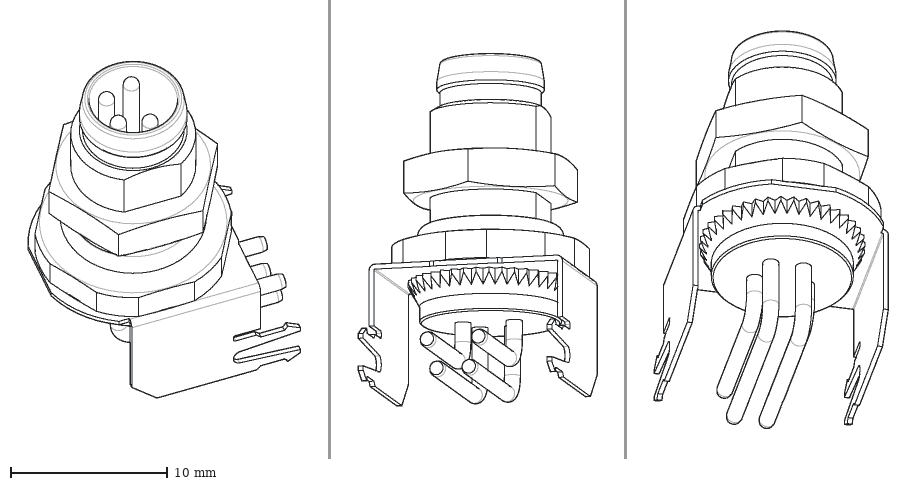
import cadquery as cq
import math


BASE_HEIGHT = 2.0
BODY_RADIUS = 4.0
BODY_FLAT_WIDTH = 7.0
BODY_CHAMFER_Z = 10.62
BODY_TOP_Z = 10.95
BODY_TOP_RADIUS = 3.45
NECK_RADIUS = 3.25
COLLAR_BOTTOM_Z = 12.02
COLLAR_RADIUS = 3.45
COLLAR_CHAMFER = COLLAR_RADIUS - NECK_RADIUS
COLLAR_CONE_Z = 12.75
SHELL_TOP_Z = 14.0
RIM_OUTER_RADIUS = 3.27
RIM_ROUND = 0.17

CAVITY_FLOOR_Z = 7.5
CAVITY_FLOOR_RADIUS = 2.74
CAVITY_MOUTH_RADIUS = 2.83
MOUTH_ROUND = 0.1

NUT_FLATS = 10.0
NUT_BOTTOM_Z = 5.0
NUT_HEIGHT = 2.5
NUT_FACE_RADIUS = 4.95
CHAMFER_ANGLE = 14.0
BASE_FLATS = 12.1
BASE_CORNER_RADIUS = 6.35
BASE_FACE_RADIUS = 6.0

RING_SECTION_RADIUS = 0.64
RING_CENTER_RADIUS = 4.05

SHEET = 0.33
BRACKET_WIDTH = 12.8
BEND_RADIUS = 0.4
LEG_FRONT_Y = -2.5
LEG_REAR_Y = 6.3
LEG_BOTTOM_Z = -7.92
LEG_CORNER_CHAMFER = 1.72
DISC_RADIUS = 6.74
DISC_HALF_LENGTH = 6.4
DISC_HALF_WIDTH = 5.93

PRONG_AXIS_Z = -6.23
PRONG_TIP_Y = 9.03
PRONG_TIP_INNER = 0.9
PRONG_TIP_OUTER = 1.2
BARB_Y = 8.15
BARB_OUTER = 1.72
BARB_FOOT_Y = 7.93
BARB_HOLLOW_Y = 8.01
BARB_HOLLOW_OUTER = 1.48
PRONG_OUTER = 1.4
PRONG_STEP_Y = 6.32
GAP_ROOT_Y = 4.45
GAP_ROUND_Y = 4.85
GAP_ROUND_HALF = 0.53
RELIEF_ROOT_Y = 4.45
RELIEF_TOP_Z = -4.03
RELIEF_BOTTOM_Z = -4.52
RELIEF_ROUND = 0.15

TOOTH_COUNT = 40
RIDGE_RADIUS = 5.3
VALLEY_RADIUS = 4.87
PLUG_RADIUS = 4.55
PLUG_TOP_Z = -1.9
PLUG_BOTTOM_Z = -3.0
PLUG_CHAMFER = 0.12
CONE_HALF_ANGLE = 30.0

PIN_RADIUS = 0.52
PIN_TIP_Z = 13.84
PIN_END_Y = 9.65
PIN_BEND_RADIUS = 1.42
PIN_END_TAPER_LENGTH = 0.32
PIN_END_RADIUS = 0.44
FRONT_PIN_X = 1.07
FRONT_PIN_Y = -1.42
REAR_PIN_X = 1.7
REAR_PIN_Y = 0.51
LOWEST_Z = -8.15
FRONT_TAIL_Z = LOWEST_Z + PIN_RADIUS
REAR_TAIL_Z = FRONT_TAIL_Z + REAR_PIN_Y - FRONT_PIN_Y


def slab(x_size, y_min, y_max, z_min, z_max):
    """Box centred on X = 0."""
    corner = cq.Vector(-x_size / 2, y_min, z_min)
    return cq.Workplane(cq.Solid.makeBox(x_size, y_max - y_min, z_max - z_min, corner))


def revolved(outline):
    """Revolve an outline of (radius, z), drawn on the XZ plane, about the Z axis."""
    return outline.close().revolve(360, (0, 0, 0), (0, 1, 0))


def make_shell():
    outline = (
        cq.Workplane("XZ")
        .lineTo(BODY_RADIUS, 0)
        .lineTo(BODY_RADIUS, BODY_CHAMFER_Z)
        .lineTo(BODY_TOP_RADIUS, BODY_TOP_Z)
        .lineTo(NECK_RADIUS, BODY_TOP_Z)
        .lineTo(NECK_RADIUS, COLLAR_BOTTOM_Z)
        .lineTo(COLLAR_RADIUS, COLLAR_BOTTOM_Z + COLLAR_CHAMFER)
        .lineTo(COLLAR_RADIUS, COLLAR_CONE_Z)
        .lineTo(RIM_OUTER_RADIUS, SHELL_TOP_Z - RIM_ROUND)
        .radiusArc((RIM_OUTER_RADIUS - RIM_ROUND, SHELL_TOP_Z), -RIM_ROUND)
        .lineTo(0, SHELL_TOP_Z)
    )
    flats = slab(BODY_FLAT_WIDTH, -BODY_RADIUS, BODY_RADIUS, 0, SHELL_TOP_Z)
    return revolved(outline).intersect(flats)


def make_cavity():
    outline = (
        cq.Workplane("XZ")
        .moveTo(0, CAVITY_FLOOR_Z)
        .lineTo(CAVITY_FLOOR_RADIUS, CAVITY_FLOOR_Z)
        .lineTo(CAVITY_MOUTH_RADIUS, SHELL_TOP_Z - MOUTH_ROUND)
        .radiusArc((CAVITY_MOUTH_RADIUS + MOUTH_ROUND, SHELL_TOP_Z), MOUTH_ROUND)
        .lineTo(0, SHELL_TOP_Z)
    )
    return revolved(outline)


def chamfered_hexagon(flats, bottom_z, height, face_radius, outer_radius):
    """Hexagon with flats facing X, turned to outer_radius and coned down to both end faces."""
    drop = (outer_radius - face_radius) * math.tan(math.radians(CHAMFER_ANGLE))
    corner_diameter = flats / math.cos(math.pi / 6)
    hexagon = (
        cq.Workplane("XY", origin=(0, 0, bottom_z))
        .transformed(rotate=(0, 0, 30))
        .polygon(6, corner_diameter)
        .extrude(height)
    )
    top_z = bottom_z + height
    envelope = revolved(
        cq.Workplane("XZ")
        .moveTo(0, bottom_z)
        .lineTo(face_radius, bottom_z)
        .lineTo(outer_radius, bottom_z + drop)
        .lineTo(outer_radius, top_z - drop)
        .lineTo(face_radius, top_z)
        .lineTo(0, top_z)
    )
    return hexagon.intersect(envelope)


def make_nut():
    corner_radius = NUT_FLATS / 2 / math.cos(math.pi / 6)
    return chamfered_hexagon(NUT_FLATS, NUT_BOTTOM_Z, NUT_HEIGHT, NUT_FACE_RADIUS, corner_radius)


def make_base():
    return chamfered_hexagon(BASE_FLATS, 0, BASE_HEIGHT, BASE_FACE_RADIUS, BASE_CORNER_RADIUS)


def make_o_ring():
    """D-shaped section: half-round outside, filled in to the connector axis."""
    top_z = BASE_HEIGHT + 2 * RING_SECTION_RADIUS
    outline = (
        cq.Workplane("XZ")
        .moveTo(0, BASE_HEIGHT)
        .lineTo(RING_CENTER_RADIUS, BASE_HEIGHT)
        .radiusArc((RING_CENTER_RADIUS, top_z), -RING_SECTION_RADIUS)
        .lineTo(0, top_z)
    )
    return revolved(outline)


def make_serrated_ring():
    """Cone with vertical V grooves round its upper part."""
    points = []
    for index in range(2 * TOOTH_COUNT):
        angle = math.pi * index / TOOTH_COUNT
        radius = RIDGE_RADIUS if index % 2 else VALLEY_RADIUS
        points.append((radius * math.cos(angle), radius * math.sin(angle)))
    star = cq.Workplane("XY", origin=(0, 0, PLUG_TOP_Z)).polyline(points).close().extrude(-PLUG_TOP_Z)
    top_radius = PLUG_RADIUS - PLUG_TOP_Z * math.tan(math.radians(CONE_HALF_ANGLE))
    cone = cq.Solid.makeCone(PLUG_RADIUS, top_radius, -PLUG_TOP_Z, cq.Vector(0, 0, PLUG_TOP_Z))
    return star.intersect(cq.Workplane(cone))


def make_plug():
    return (
        cq.Workplane("XY", origin=(0, 0, PLUG_BOTTOM_Z))
        .circle(PLUG_RADIUS)
        .extrude(PLUG_TOP_Z - PLUG_BOTTOM_Z)
        .faces("<Z")
        .chamfer(PLUG_CHAMFER)
    )


def make_plate():
    """Bracket plate: trimmed disc plus the rectangle that bends down into the legs."""
    disc = cq.Workplane("XY").circle(DISC_RADIUS).extrude(-SHEET)
    disc = disc.intersect(slab(2 * DISC_HALF_WIDTH, -DISC_HALF_LENGTH, DISC_HALF_LENGTH, -SHEET, 0))
    outer = slab(BRACKET_WIDTH, LEG_FRONT_Y, LEG_REAR_Y, -2 * BEND_RADIUS, 0)
    outer = outer.edges("|Y and >Z").fillet(BEND_RADIUS)
    inner = slab(BRACKET_WIDTH - 2 * SHEET, LEG_FRONT_Y, LEG_REAR_Y, -2 * BEND_RADIUS, -SHEET)
    inner = inner.edges("|Y and >Z").fillet(BEND_RADIUS - SHEET)
    return disc.union(outer.cut(inner))


def make_leg(start_x):
    """Flat leg with a relief slot and two barbed solder prongs, one sheet thick in +X from start_x."""
    def upper(distance):
        return PRONG_AXIS_Z + distance

    def lower(distance):
        return PRONG_AXIS_Z - distance

    upper_step = RELIEF_BOTTOM_Z - upper(PRONG_OUTER)
    lower_step = lower(PRONG_OUTER) - LEG_BOTTOM_Z
    outline = (
        cq.Workplane("YZ", origin=(start_x, 0, 0))
        .moveTo(LEG_FRONT_Y, -BEND_RADIUS)
        .lineTo(LEG_REAR_Y, -BEND_RADIUS)
        .lineTo(LEG_REAR_Y, RELIEF_TOP_Z)
        .lineTo(RELIEF_ROOT_Y + RELIEF_ROUND, RELIEF_TOP_Z)
        .radiusArc((RELIEF_ROOT_Y, RELIEF_TOP_Z - RELIEF_ROUND), -RELIEF_ROUND)
        .lineTo(RELIEF_ROOT_Y, RELIEF_BOTTOM_Z + RELIEF_ROUND)
        .radiusArc((RELIEF_ROOT_Y + RELIEF_ROUND, RELIEF_BOTTOM_Z), -RELIEF_ROUND)
        .lineTo(PRONG_STEP_Y - upper_step, RELIEF_BOTTOM_Z)
        .lineTo(PRONG_STEP_Y, upper(PRONG_OUTER))
        .lineTo(BARB_FOOT_Y, upper(PRONG_OUTER))
        .threePointArc((BARB_HOLLOW_Y, upper(BARB_HOLLOW_OUTER)), (BARB_Y, upper(BARB_OUTER)))
        .lineTo(PRONG_TIP_Y, upper(PRONG_TIP_OUTER))
        .lineTo(PRONG_TIP_Y, upper(PRONG_TIP_INNER))
        .lineTo(GAP_ROUND_Y, upper(GAP_ROUND_HALF))
        .threePointArc((GAP_ROOT_Y, PRONG_AXIS_Z), (GAP_ROUND_Y, lower(GAP_ROUND_HALF)))
        .lineTo(PRONG_TIP_Y, lower(PRONG_TIP_INNER))
        .lineTo(PRONG_TIP_Y, lower(PRONG_TIP_OUTER))
        .lineTo(BARB_Y, lower(BARB_OUTER))
        .threePointArc((BARB_HOLLOW_Y, lower(BARB_HOLLOW_OUTER)), (BARB_FOOT_Y, lower(PRONG_OUTER)))
        .lineTo(PRONG_STEP_Y, lower(PRONG_OUTER))
        .lineTo(PRONG_STEP_Y - lower_step, LEG_BOTTOM_Z)
        .lineTo(LEG_FRONT_Y + LEG_CORNER_CHAMFER, LEG_BOTTOM_Z)
        .lineTo(LEG_FRONT_Y, LEG_BOTTOM_Z + LEG_CORNER_CHAMFER)
    )
    return outline.close().extrude(SHEET)


def make_pin(x, y, tail_z):
    """Round-tipped vertical contact bent through 90 degrees to a tail along +Y."""
    tip_center_z = PIN_TIP_Z - PIN_RADIUS
    taper_y = PIN_END_Y - PIN_END_TAPER_LENGTH
    path = (
        cq.Workplane("YZ", origin=(x, 0, 0))
        .moveTo(y, tip_center_z)
        .lineTo(y, tail_z + PIN_BEND_RADIUS)
        .radiusArc((y + PIN_BEND_RADIUS, tail_z), -PIN_BEND_RADIUS)
        .lineTo(taper_y, tail_z)
    )
    wire = cq.Workplane("XY", origin=(x, y, tip_center_z)).circle(PIN_RADIUS).sweep(path)
    tip = cq.Workplane("XY", origin=(x, y, tip_center_z)).sphere(PIN_RADIUS)
    tail_end = cq.Solid.makeCone(
        PIN_RADIUS,
        PIN_END_RADIUS,
        PIN_END_TAPER_LENGTH,
        cq.Vector(x, taper_y, tail_z),
        cq.Vector(0, 1, 0),
    )
    return wire.union(tip).union(cq.Workplane(tail_end))


result = make_shell().union(make_base()).union(make_nut()).union(make_o_ring())
result = result.union(make_serrated_ring()).union(make_plug()).union(make_plate())
for leg_x in (-BRACKET_WIDTH / 2, BRACKET_WIDTH / 2 - SHEET):
    result = result.union(make_leg(leg_x))

result = result.cut(make_cavity())
for side in (-1, 1):
    result = result.union(make_pin(side * FRONT_PIN_X, FRONT_PIN_Y, FRONT_TAIL_Z))
    result = result.union(make_pin(side * REAR_PIN_X, REAR_PIN_Y, REAR_TAIL_Z))